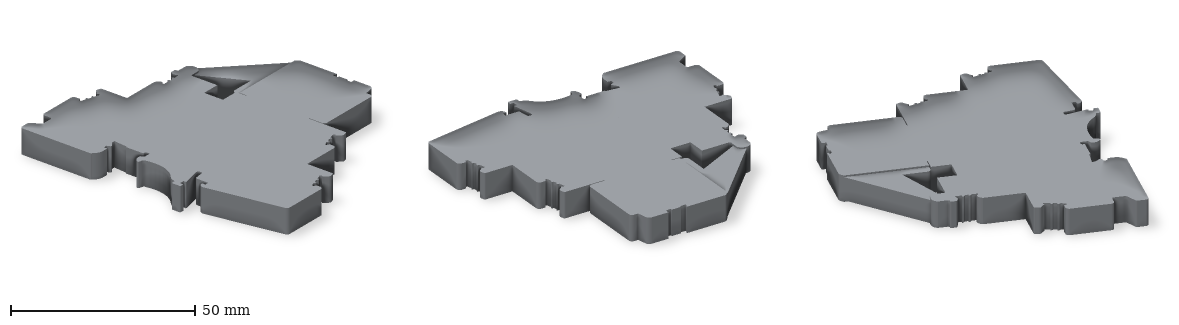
import cadquery as cq

WIDTH = 86.55
HEIGHT = 78.0
TOTAL_DEPTH = 8.62
BOSS_HEIGHT = 0.52
THICKNESS = TOTAL_DEPTH - BOSS_HEIGHT
CLEAR = 2.0

TIER_STEP = 12.1
LOWER_LEDGE = 31.6
UPPER_LEDGE = 52.7
UPPER_LEFT = TIER_STEP
UPPER_RIGHT = WIDTH - TIER_STEP
CORNER_RADIUS = 1.0

TOOTH_REACH = 0.6
TOOTH_FLAT = 0.45
TOOTH_PITCH = 1.83
TOOTH_COUNT = 2

BLOCK_GAP = 0.25
BLOCK_BOTTOM = UPPER_LEDGE + BLOCK_GAP
BLOCK_LEFT = 31.65
BLOCK_RIGHT = 63.75
BLOCK_RADIUS = 1.1
BLOCK_NECK_LEFT = 36.7
BLOCK_NECK_RIGHT = 58.4
BLOCK_SHOULDER = 74.1

POST_LEFT = 13.1
POST_RIGHT = 17.55
POST_CENTRE = (POST_LEFT + POST_RIGHT) / 2
POST_TOP = 57.45
POST_CROWN = 1.55
POST_FOOT_RADIUS = 0.35
WEB_INSET = 0.5
WEB_RIGHT = 34.25
WEB_RIGHT_TOP = 76.85
WEB_LOWER_LEFT = 54.15
WEB_LOWER_RIGHT = 61.15

SLOT_LEFT = 26.7
SLOT_RIGHT = 33.2
SLOT_BOTTOM = 46.95

BOSS_DIAMETER = 2.5
BOSS_Y = 54.9

RAIL_SEAT = 9.65
RAIL_SEAT_STEP = 8.85
HOOK_LIP = 5.0
HOOK_GROOVE = 6.25
FOOT_NECK = 25.05
FOOT_TIP = 26.2
FOOT_SOLE_END = 24.2
FOOT_HEEL_RADIUS = 0.5
LATCH_LEFT = 52.45
LATCH_RIGHT = 55.45
LATCH_NOTCH = 54.3
LATCH_TOE = 1.35
RELIEF_RADIUS = 0.45
HEEL_TIP = 59.05
HEEL_GROOVE = 60.2
END_HEIGHT = 7.8

BAY_DEPTH = 3.45
BAY_SLOPE_START = 3.6
BAY_SLOPE_END = 5.6
BAY_RADIUS = 0.6
BAY_LIP_RADIUS = 0.5

SMALL_RADIUS = 0.35


def block(left, right, bottom, top):
    """Full-thickness box between the given limits."""
    box = cq.Workplane("XY").box(right - left, top - bottom, THICKNESS, centered=False)
    return box.translate((left, bottom, 0))


def plate(outline):
    """Close a drawn outline and extrude it through the full thickness."""
    return outline.close().extrude(THICKNESS)


def round_edge(body, x, y, radius):
    """Round the edge which runs through the thickness at the given place."""
    return body.edges(cq.selectors.NearestToPointSelector((x, y, THICKNESS / 2))).fillet(radius)


def add_teeth(outline, first_depth, wall_at, point):
    """Draw the grip teeth down an entry wall; wall_at gives the wall's inset at a depth."""
    for index in range(TOOTH_COUNT):
        depth = first_depth + index * TOOTH_PITCH
        tip = wall_at(depth) - TOOTH_REACH
        root_depth = depth + 2 * TOOTH_FLAT
        outline = outline.lineTo(*point(wall_at(depth), depth))
        outline = outline.lineTo(*point(tip, depth))
        outline = outline.lineTo(*point(tip, depth + TOOTH_FLAT))
        outline = outline.lineTo(*point(wall_at(root_depth), root_depth))
    return outline


def sloped_entry(end_wall, inward, ledge):
    """Cutter for a wire entry with a sloped toothed wall under a rounded ledge nose.

    Points are given as inset from the end wall and depth below the ledge;
    inward is +1 at a left end and -1 at a right end.
    """
    wall_top = (5.2, 3.1)
    wall_foot = (3.35, 9.05)
    first_tooth = 4.95
    nose_start = (3.4, 0)
    nose_corner_bend = (3.15, 0.12)
    nose_corner_end = (3.0, 0.4)
    nose_tip_start = (2.75, 1.2)
    nose_tip_bend = (2.75, 1.75)
    nose_tip_end = (3.1, 2.2)
    nose_end = (3.85, 2.85)
    lip_tip = (4.25, 3.35)
    lip_root = (4.5, 2.9)
    trough = (2.75, 9.15)
    sill_start = (2.45, 8.3)
    sill_end = (1.2, 8.3)
    sill_bend = (0.35, 8.6)
    sill_depth = 9.4
    slope = (wall_foot[0] - wall_top[0]) / (wall_foot[1] - wall_top[1])

    def point(inset, depth):
        return end_wall + inward * inset, ledge - depth

    def wall_at(depth):
        return wall_top[0] + slope * (depth - wall_top[1])

    outline = cq.Workplane("XY").moveTo(*point(-CLEAR, 0)).lineTo(*point(*nose_start))
    outline = outline.threePointArc(point(*nose_corner_bend), point(*nose_corner_end))
    outline = outline.lineTo(*point(*nose_tip_start))
    outline = outline.threePointArc(point(*nose_tip_bend), point(*nose_tip_end))
    for corner in (nose_end, lip_tip, lip_root, wall_top):
        outline = outline.lineTo(*point(*corner))
    outline = add_teeth(outline, first_tooth, wall_at, point)
    for corner in (wall_foot, trough, sill_start, sill_end):
        outline = outline.lineTo(*point(*corner))
    outline = outline.threePointArc(point(*sill_bend), point(0, sill_depth))
    outline = outline.lineTo(*point(-CLEAR, sill_depth))
    return plate(outline)


def upright_entry():
    """Cutter for the wire entry under the marking post, with an upright toothed wall."""
    wall = 2.8
    first_tooth = 3.9
    ledge_depth = 1.75
    ledge_round = (0.9, 2.3)
    lip_tip = (1.6, 2.45)
    lip_root = (2.4, 2.05)
    foot_depth = 8.4
    trough = (2.3, 8.4)
    sill_peak = (1.8, 7.8)
    sill_round = (0.7, 8.2)
    sill_depth = 9.2

    def point(inset, depth):
        return UPPER_LEFT + inset, UPPER_LEDGE - depth

    outline = cq.Workplane("XY").moveTo(*point(-CLEAR, ledge_depth)).lineTo(*point(0, ledge_depth))
    outline = outline.threePointArc(point(*ledge_round), point(*lip_tip))
    outline = outline.lineTo(*point(*lip_root)).lineTo(*point(wall, lip_root[1]))
    outline = add_teeth(outline, first_tooth, lambda depth: wall, point)
    outline = outline.lineTo(*point(wall, foot_depth)).lineTo(*point(*trough)).lineTo(*point(*sill_peak))
    outline = outline.threePointArc(point(*sill_round), point(0, sill_depth))
    outline = outline.lineTo(*point(-CLEAR, sill_depth))
    return plate(outline)


def tiers():
    """Stepped two-tier housing with its outer bottom corner rounded."""
    lower = block(0, WIDTH, 0, LOWER_LEDGE).edges("|Z and <X and <Y").fillet(CORNER_RADIUS)
    return lower.union(block(UPPER_LEFT, UPPER_RIGHT, 0, UPPER_LEDGE))


def plug_block():
    """Plug block with a keyed notch in its top edge, on a neck above the upper tier."""
    web_slope = (WEB_RIGHT_TOP - POST_TOP) / (WEB_RIGHT - POST_CENTRE)
    top_left = WEB_RIGHT + (HEIGHT - WEB_RIGHT_TOP) / web_slope
    lip_end = 48.15
    lip_height = 77.75
    notch_left = 47.75
    notch_right = 54.1
    notch_floor = 76.7
    lip_root = 77.35
    key_left = 49.5
    key_right = 52.5
    key_top = 77.2
    crest_end = 59.5
    crest_bend = (60.4, 77.6)
    crest_foot = (60.85, 76.6)
    shoulder_start = 61.4

    outline = cq.Workplane("XY").moveTo(WEB_RIGHT, BLOCK_BOTTOM).lineTo(WEB_RIGHT, WEB_RIGHT_TOP)
    outline = outline.lineTo(top_left, HEIGHT).lineTo(lip_end, HEIGHT).lineTo(lip_end, lip_height)
    outline = outline.lineTo(notch_left, lip_root).lineTo(notch_left, notch_floor)
    outline = outline.lineTo(key_left, notch_floor).lineTo(key_left, key_top)
    outline = outline.lineTo(key_right, key_top).lineTo(key_right, notch_floor)
    outline = outline.lineTo(notch_right, notch_floor).lineTo(notch_right, HEIGHT)
    outline = outline.lineTo(crest_end, HEIGHT).threePointArc(crest_bend, crest_foot)
    outline = outline.lineTo(shoulder_start, BLOCK_SHOULDER)
    outline = outline.lineTo(BLOCK_RIGHT, BLOCK_SHOULDER).lineTo(BLOCK_RIGHT, BLOCK_BOTTOM)
    body = plate(outline).edges("|Z and >X").fillet(BLOCK_RADIUS)
    body = round_edge(body, top_left, HEIGHT, BLOCK_RADIUS)
    return body.union(block(BLOCK_NECK_LEFT, BLOCK_NECK_RIGHT, UPPER_LEDGE, BLOCK_BOTTOM))


def marking_post():
    """Post with an arched crown and flared foot corners."""
    side_top = POST_TOP - POST_CROWN
    foot_top = UPPER_LEDGE + POST_FOOT_RADIUS
    outline = cq.Workplane("XY").moveTo(POST_LEFT - POST_FOOT_RADIUS, UPPER_LEDGE)
    outline = outline.lineTo(POST_LEFT, foot_top).lineTo(POST_LEFT, side_top)
    outline = outline.threePointArc((POST_CENTRE, POST_TOP), (POST_RIGHT, side_top))
    outline = outline.lineTo(POST_RIGHT, foot_top).lineTo(POST_RIGHT + POST_FOOT_RADIUS, UPPER_LEDGE)
    return plate(outline)


def web():
    """Web from the post to the plug block, set in from both faces."""
    outline = cq.Workplane("XY").workplane(offset=WEB_INSET).moveTo(POST_CENTRE, POST_TOP)
    outline = outline.lineTo(WEB_RIGHT, WEB_RIGHT_TOP).lineTo(WEB_RIGHT, BLOCK_BOTTOM)
    outline = outline.lineTo(BLOCK_LEFT + BLOCK_RADIUS, BLOCK_BOTTOM)
    outline = outline.radiusArc((BLOCK_LEFT, BLOCK_BOTTOM + BLOCK_RADIUS), BLOCK_RADIUS)
    outline = outline.lineTo(BLOCK_LEFT, WEB_LOWER_RIGHT).lineTo(POST_RIGHT, WEB_LOWER_LEFT)
    outline = outline.lineTo(POST_CENTRE, WEB_LOWER_LEFT)
    return outline.close().extrude(THICKNESS - 2 * WEB_INSET)


def boss():
    """Round boss below the marking post."""
    return cq.Workplane("XY").center(POST_CENTRE, BOSS_Y).circle(BOSS_DIAMETER / 2).extrude(-BOSS_HEIGHT)


def rail_pocket():
    """Cutter between the fixed foot and the spring latch, including the latch's arched back."""
    sole_start = (24.65, 0.3)
    sole_top = 3.3
    sole_reach = FOOT_TIP - sole_start[0]
    sole_rise = sole_top - sole_start[1]
    sole_radius = (sole_reach**2 + sole_rise**2) / (2 * sole_reach)
    hook_nose = 6.65
    hook_shoulder = 7.2
    hook_root = 8.7
    seat_end = 29.65
    seat_end_height = 9.2
    relief_left = 35.7
    relief_right = 37.15
    relief_top = 9.9
    relief_foot = 7.6
    stub_left = 36.0
    stub_shoulder = 7.0
    stub_bend = (36.2, 5.3)
    stub_tip_left = (37.1, 4.15)
    stub_tip_right = (37.75, 4.2)
    stub_root = (38.0, 5.2)
    stub_root_bend = (38.25, 5.75)
    arch_start = (38.85, 5.95)
    arch_bend = (42.0, 6.25)
    arch_end = (45.0, 5.85)
    spring_bend = (47.6, 4.75)
    spring_end = (49.9, 2.85)
    spring_root_bend = (50.6, 2.15)
    spring_root_end = (51.5, 1.65)

    outline = cq.Workplane("XY").moveTo(FOOT_SOLE_END, -CLEAR).lineTo(FOOT_SOLE_END, 0)
    outline = outline.radiusArc(sole_start, -FOOT_HEEL_RADIUS)
    outline = outline.radiusArc((FOOT_TIP, sole_top), -sole_radius)
    outline = outline.lineTo(FOOT_TIP, HOOK_LIP).lineTo(FOOT_NECK, HOOK_LIP).lineTo(FOOT_NECK, HOOK_GROOVE)
    outline = outline.lineTo(FOOT_TIP, hook_nose).lineTo(FOOT_TIP, hook_shoulder)
    outline = outline.lineTo(FOOT_NECK, hook_root).lineTo(FOOT_NECK, RAIL_SEAT)
    outline = outline.lineTo(seat_end, seat_end_height)
    outline = outline.lineTo(seat_end, RAIL_SEAT_STEP).lineTo(relief_left, RAIL_SEAT_STEP)
    outline = outline.lineTo(relief_left, relief_top).lineTo(relief_right, relief_top)
    outline = outline.lineTo(relief_right, relief_foot).lineTo(stub_left, stub_shoulder)
    outline = outline.threePointArc(stub_bend, stub_tip_left).lineTo(*stub_tip_right).lineTo(*stub_root)
    outline = outline.threePointArc(stub_root_bend, arch_start).threePointArc(arch_bend, arch_end)
    outline = outline.threePointArc(spring_bend, spring_end).threePointArc(spring_root_bend, spring_root_end)
    outline = outline.lineTo(LATCH_LEFT, LATCH_TOE).lineTo(LATCH_LEFT, -CLEAR)
    pocket = round_edge(plate(outline), relief_left, relief_top, RELIEF_RADIUS)
    return round_edge(pocket, relief_right, relief_top, RELIEF_RADIUS)


def heel_pocket():
    """Cutter to the right of the latch: spring slit, heel groove and sloped underside."""
    latch_tip = (55.15, 3.3)
    latch_groove_top = 2.9
    slit_top = 9.95
    slit_left = 53.8
    slit_bend = 8.85
    slit_right = 55.3
    slit_round_start = (55.7, 6.9)
    slit_round_bend = (55.85, 6.45)
    slit_round_end = 56.4
    heel_bend = (59.4, 3.9)
    heel_bottom = (61.1, 3.4)

    outline = cq.Workplane("XY").moveTo(LATCH_RIGHT, -CLEAR).lineTo(LATCH_RIGHT, LATCH_TOE)
    outline = outline.lineTo(LATCH_NOTCH, LATCH_TOE).lineTo(LATCH_NOTCH, latch_groove_top)
    outline = outline.lineTo(latch_tip[0], latch_groove_top).lineTo(*latch_tip)
    outline = outline.lineTo(slit_left, slit_bend).lineTo(slit_left, slit_top).lineTo(slit_right, slit_top)
    outline = outline.lineTo(*slit_round_start).threePointArc(slit_round_bend, (slit_round_end, HOOK_GROOVE))
    outline = outline.lineTo(HEEL_GROOVE, HOOK_GROOVE).lineTo(HEEL_GROOVE, HOOK_LIP)
    outline = outline.lineTo(HEEL_TIP, HOOK_LIP).threePointArc(heel_bend, heel_bottom)
    outline = outline.lineTo(WIDTH, END_HEIGHT).lineTo(WIDTH, -CLEAR)
    pocket = round_edge(plate(outline), slit_left, slit_top, RELIEF_RADIUS)
    return round_edge(pocket, slit_right, slit_top, RELIEF_RADIUS)


def end_bay():
    """Cutter for the bay in the left end, with a sloped lower side."""
    outline = cq.Workplane("XY").moveTo(-CLEAR, BAY_SLOPE_START).lineTo(0, BAY_SLOPE_START)
    outline = outline.lineTo(BAY_DEPTH, BAY_SLOPE_END).lineTo(BAY_DEPTH, RAIL_SEAT - BAY_RADIUS)
    outline = outline.radiusArc((BAY_DEPTH - BAY_RADIUS, RAIL_SEAT), -BAY_RADIUS)
    outline = outline.lineTo(-CLEAR, RAIL_SEAT)
    return plate(outline)


housing = tiers()
for end_wall, inward, ledge in (
    (0, 1, LOWER_LEDGE),
    (WIDTH, -1, LOWER_LEDGE),
    (UPPER_RIGHT, -1, UPPER_LEDGE),
):
    housing = housing.cut(sloped_entry(end_wall, inward, ledge))
housing = housing.cut(upright_entry())
housing = housing.cut(block(SLOT_LEFT, SLOT_RIGHT, SLOT_BOTTOM, UPPER_LEDGE))
housing = housing.cut(rail_pocket()).cut(heel_pocket()).cut(end_bay())
for x, y, radius in (
    (WIDTH, END_HEIGHT, CORNER_RADIUS),
    (0, RAIL_SEAT, CORNER_RADIUS),
    (0, BAY_SLOPE_START, BAY_LIP_RADIUS),
    (BAY_DEPTH, BAY_SLOPE_END, CORNER_RADIUS),
    (LATCH_LEFT, 0, SMALL_RADIUS),
    (LATCH_RIGHT, 0, SMALL_RADIUS),
    (UPPER_LEFT, UPPER_LEDGE, SMALL_RADIUS),
):
    housing = round_edge(housing, x, y, radius)

result = housing.union(plug_block()).union(marking_post()).union(web()).union(boss())